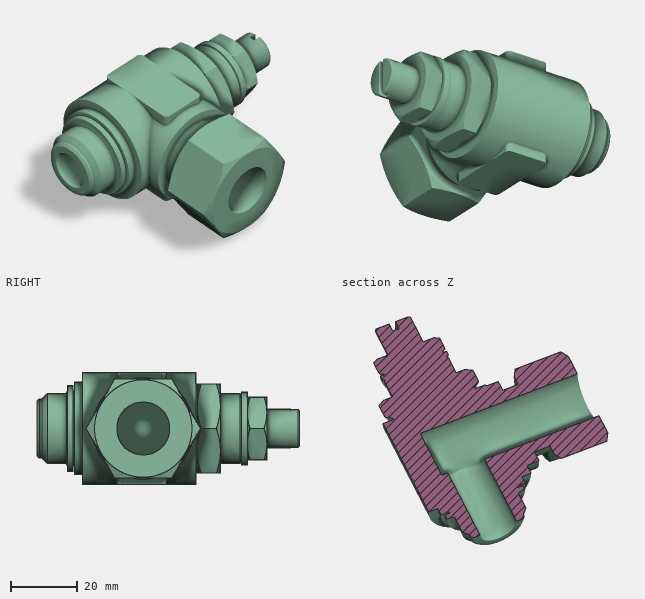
import cadquery as cq
import math

body_diameter = 34.0
body_front_y = -18.4
body_rear_y = 15.9

seal_ring_diameter = 28.0
seal_ring_front_y = -20.85
seal_groove_diameter = 22.6
washer_diameter = 26.0
washer_rear_y = -21.25
washer_front_y = -22.9
shoulder_rear_diameter = 23.0
shoulder_front_diameter = 21.5
stud_shoulder_front_y = -23.2
thread_diameter = 21.2
thread_front_y = -29.0
tip_diameter = 18.0
tip_waist_diameter = 17.9
tip_front_y = -32.15
tip_bevel = 0.75
tip_rim_length = 0.2

nut_collar_diameter = 27.0
nut_collar_rear_y = 16.35
cartridge_nut_flats = 27.0
cartridge_nut_rear_y = 23.35
barrel_diameter = 21.2
barrel_rear_y = 29.7
barrel_chamfer = 0.4
lock_washer_diameter = 22.0
lock_nut_flats = 19.0
lock_nut_front_y = 31.5
lock_nut_rear_y = 37.4

spindle_diameter = 11.8
spindle_rear_y = 47.28
spindle_chamfer = 0.5
slot_width = 2.0
slot_depth = 2.7

port_collar_diameter = 30.8
port_collar_end_x = 21.0
port_neck_diameter = 24.0
union_nut_flats = 30.0
union_nut_start_x = 26.0
union_nut_end_x = 44.0
union_nut_mouth_diameter = 29.5

nut_chamfer_angle = 30.0

pad_start_x = -9.65
pad_end_x = body_diameter / 2
pad_width = 15.0
pad_centre_y = -0.5
pad_corner_radius = 1.5

inlet_diameter = 12.0
outlet_diameter = 16.0


def cylinder_y(diameter, start_y, end_y):
    """Cylinder along the Y axis."""
    length = end_y - start_y
    base = cq.Plane(origin=(0, start_y, 0), xDir=(1, 0, 0), normal=(0, 1, 0))
    return cq.Workplane(base).circle(diameter / 2).extrude(length)


def cylinder_x(diameter, start_x, end_x):
    """Cylinder along the X axis."""
    length = end_x - start_x
    base = cq.Plane(origin=(start_x, 0, 0), xDir=(0, 1, 0), normal=(1, 0, 0))
    return cq.Workplane(base).circle(diameter / 2).extrude(length)


def hex_nut(base, flats, length, far_face_diameter):
    """Hexagon along the base normal, corners on its X direction, both ends turned to a cone."""
    corner_radius = flats / math.sqrt(3)
    slope = math.tan(math.radians(nut_chamfer_angle))
    near_bevel = (corner_radius - flats / 2) * slope
    far_bevel = (corner_radius - far_face_diameter / 2) * slope
    profile = [
        (0, 0),
        (flats / 2, 0),
        (corner_radius, near_bevel),
        (corner_radius, length - far_bevel),
        (far_face_diameter / 2, length),
        (0, length),
    ]
    section_normal = base.xDir.cross(base.zDir)
    section = cq.Plane(origin=base.origin, xDir=base.xDir, normal=section_normal)
    turned_blank = cq.Workplane(section).polyline(profile).close().revolve(360, (0, 0, 0), (0, 1, 0))
    hexagon = cq.Workplane(base).polygon(6, 2 * corner_radius).extrude(length)
    return hexagon.intersect(turned_blank)


def make_nut_y(flats, start_y, end_y):
    base = cq.Plane(origin=(0, start_y, 0), xDir=(1, 0, 0), normal=(0, 1, 0))
    return hex_nut(base, flats, end_y - start_y, flats)


def make_union_nut():
    base = cq.Plane(origin=(union_nut_start_x, 0, 0), xDir=(0, 1, 0), normal=(1, 0, 0))
    length = union_nut_end_x - union_nut_start_x
    return hex_nut(base, union_nut_flats, length, union_nut_mouth_diameter)


def make_stud():
    """Front end turned about Y: seal rings, thread and tip."""
    rim_front_y = tip_front_y + tip_bevel
    thread_bevel = (thread_diameter - tip_waist_diameter) / 2
    profile = [
        (0, 0),
        (seal_ring_diameter / 2, 0),
        (seal_ring_diameter / 2, seal_ring_front_y),
        (seal_groove_diameter / 2, seal_ring_front_y),
        (seal_groove_diameter / 2, washer_rear_y),
        (washer_diameter / 2, washer_rear_y),
        (washer_diameter / 2, washer_front_y),
        (shoulder_rear_diameter / 2, washer_front_y),
        (shoulder_front_diameter / 2, stud_shoulder_front_y),
        (thread_diameter / 2, stud_shoulder_front_y),
        (thread_diameter / 2, thread_front_y),
        (tip_waist_diameter / 2, thread_front_y - thread_bevel),
        (tip_waist_diameter / 2, rim_front_y + tip_rim_length),
        (tip_diameter / 2, rim_front_y + tip_rim_length),
        (tip_diameter / 2, rim_front_y),
        (tip_diameter / 2 - tip_bevel, tip_front_y),
        (0, tip_front_y),
    ]
    return cq.Workplane("XY").polyline(profile).close().revolve(360, (0, 0, 0), (0, 1, 0))


def make_cartridge():
    """Rear end: body nut, barrel, lock washer and lock nut."""
    barrel = cylinder_y(barrel_diameter, cartridge_nut_rear_y, barrel_rear_y)
    barrel = barrel.faces(">Y").chamfer(barrel_chamfer)
    return (
        cylinder_y(nut_collar_diameter, 0, nut_collar_rear_y)
        .union(make_nut_y(cartridge_nut_flats, nut_collar_rear_y, cartridge_nut_rear_y))
        .union(barrel)
        .union(cylinder_y(lock_washer_diameter, barrel_rear_y, lock_nut_front_y))
        .union(make_nut_y(lock_nut_flats, lock_nut_front_y, lock_nut_rear_y))
    )


def make_spindle():
    """Adjusting spindle with a screwdriver slot running along Z."""
    spindle = cylinder_y(spindle_diameter, lock_nut_rear_y, spindle_rear_y)
    spindle = spindle.faces(">Y").chamfer(spindle_chamfer)
    slot = cq.Workplane("XY").box(slot_width, 2 * slot_depth, 2 * spindle_diameter)
    return spindle.cut(slot.translate((0, spindle_rear_y, 0)))


def make_pads():
    """Round-cornered block through the body, standing proud as a flat pad above and below."""
    return (
        cq.Workplane("XY")
        .center((pad_start_x + pad_end_x) / 2, pad_centre_y)
        .rect(pad_end_x - pad_start_x, pad_width)
        .extrude(body_diameter / 2, both=True)
        .edges("|Z")
        .fillet(pad_corner_radius)
    )


def make_port():
    """Side port: collar, neck and union nut."""
    collar = cylinder_x(port_collar_diameter, 0, port_collar_end_x)
    neck = cylinder_x(port_neck_diameter, 0, union_nut_start_x)
    return collar.union(neck).union(make_union_nut())


def make_passage():
    """Elbow passage from the stud tip to the open end of the union nut."""
    inlet = cylinder_y(inlet_diameter, tip_front_y, 0)
    outlet = cylinder_x(outlet_diameter, -outlet_diameter / 2, union_nut_end_x)
    return inlet.union(outlet)


result = (
    cylinder_y(body_diameter, body_front_y, body_rear_y)
    .union(make_pads())
    .union(make_port())
    .union(make_stud())
    .union(make_cartridge())
    .union(make_spindle())
    .cut(make_passage())
)